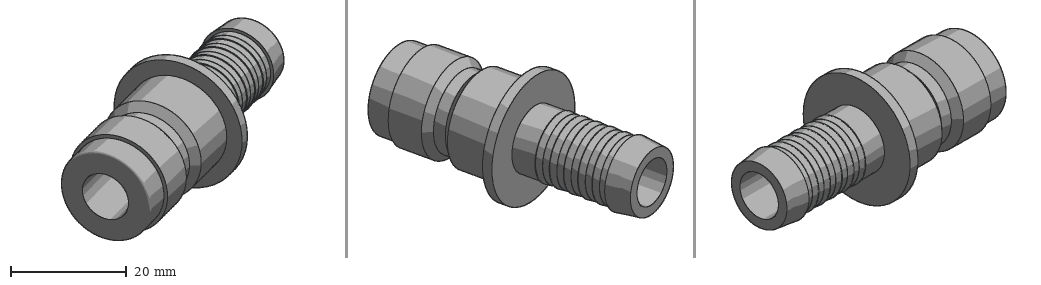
import cadquery as cq

total_length = 54.0
bore_diameter = 9.0

nose_diameter = 17.6
nose_length = 5.0
nose_fillet = 0.5
body_diameter = 19.0
locking_groove_diameter = 16.0
locking_groove_start = 12.0
locking_groove_floor = 2.5

flange_diameter = 25.0
flange_start = 27.0
flange_thickness = 2.0

stem_diameter = 13.0
head_tip_diameter = 13.0
head_base_diameter = 14.2
head_length = 5.0

rib_count = 5
rib_pitch = 3.0
rib_length = 1.5
rib_tip_diameter = 13.1
rib_base_diameter = 13.4


def cylinder(diameter, start, length):
    """Solid cylinder along +Y beginning at Y = start."""
    axis_plane = cq.Plane(origin=(0, start, 0), xDir=(1, 0, 0), normal=(0, 1, 0))
    return cq.Workplane(axis_plane).circle(diameter / 2).extrude(length)


def cone(start_diameter, end_diameter, start, length):
    """Solid frustum along +Y beginning at Y = start."""
    return cq.Workplane(
        cq.Solid.makeCone(
            start_diameter / 2,
            end_diameter / 2,
            length,
            pnt=cq.Vector(0, start, 0),
            dir=cq.Vector(0, 1, 0),
        )
    )


def make_nose():
    return cylinder(nose_diameter, 0, nose_length).faces("<Y").edges().fillet(nose_fillet)


def make_body():
    """Cylindrical body with a locking groove that has 45 degree flanks."""
    body_radius = body_diameter / 2
    groove_radius = locking_groove_diameter / 2
    flank = body_radius - groove_radius
    floor_start = locking_groove_start + flank
    floor_end = floor_start + locking_groove_floor
    return (
        cq.Workplane("XY")
        .moveTo(0, nose_length)
        .lineTo(body_radius, nose_length)
        .lineTo(body_radius, locking_groove_start)
        .lineTo(groove_radius, floor_start)
        .lineTo(groove_radius, floor_end)
        .lineTo(body_radius, floor_end + flank)
        .lineTo(body_radius, flange_start)
        .lineTo(0, flange_start)
        .close()
        .revolve(360, (0, 0, 0), (0, 1, 0))
    )


def make_flange():
    return cylinder(flange_diameter, flange_start, flange_thickness)


def make_hose_end():
    """Plain stem carrying a tapered head and a row of small ribs."""
    stem_start = flange_start + flange_thickness
    head_start = total_length - head_length
    hose_end = cylinder(stem_diameter, stem_start, head_start - stem_start)
    hose_end = hose_end.union(cone(head_base_diameter, head_tip_diameter, head_start, head_length))
    for index in range(rib_count):
        rib_start = head_start - (index + 1) * rib_pitch
        hose_end = hose_end.union(cone(rib_base_diameter, rib_tip_diameter, rib_start, rib_length))
    return hose_end


outside = make_nose().union(make_body()).union(make_flange()).union(make_hose_end())
result = outside.cut(cylinder(bore_diameter, 0, total_length))